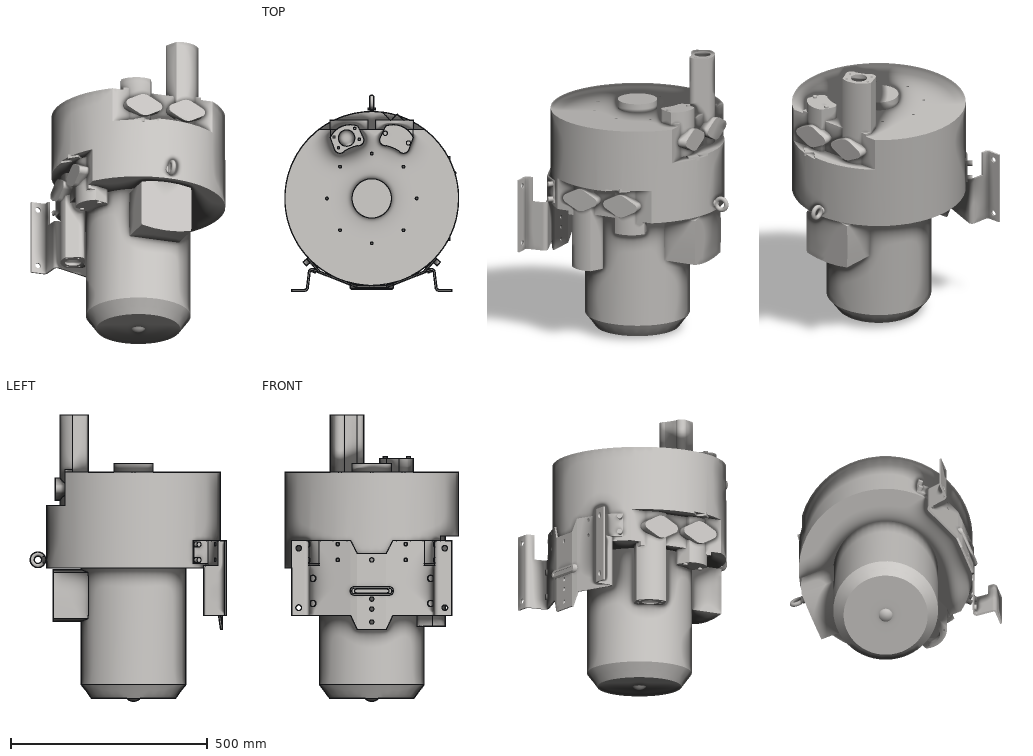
import math

import cadquery as cq


overall_height = 727.83
overall_depth = 498.78

housing_radius = 221
housing_height = 243.4
housing_top = housing_height / 2
housing_bottom = -housing_top
port_flat_y = 174.5
port_flat_depth = 84
port_turn_z = -1.4
ledge_z = housing_top - port_flat_depth
hub_radius = 50
hub_height = 22.5
cover_hole_count = 8
cover_hole_circle_radius = 114
cover_hole_diameter = 7
cover_hole_depth = 15

recess_depth = 5
recess_line_start = (26, 220)
wedge_apex = (65, 214.5)
wedge_side = 28

lobe_spacing = 50
lobe_radius = 14.5
lobe_end_angle = 123
waist_v = -10.8
shoulder_u = 38
shoulder_v = 33
crown_v = 48
lobe_center_x = 57.7
lobe_center_y = 138.7
lobe_tilt = 22.6

silencer_height = 145.6
silencer_bore_radius = 20.8
silencer_bore_depth = 27
bore_v = 15.8
silencer_hole_spacing_u = 57
silencer_hole_spacing_v = 30
silencer_hole_diameter = 6
silencer_hole_depth = 20
port_cover_height = 35
cover_bolt_u = 32
cover_bolt_diameter = 11
cover_bolt_height = 4.4

pad_x = (62, 105)
pad_y = (155, port_flat_y)
pad_height = 6.6
pad_embed = 10

flange_center_x = 58
flange_z = housing_top - 43
flange_face_y = 199
flange_embed = 1
flange_hub_radius = 28.5
flange_ear_radius = 11.5
flange_ear_offset = 37

motor_radius = 133.2
motor_length = 296
motor_cone_length = 35
motor_end_radius = 107
motor_cap_radius = 17.5
motor_cap_height = (
    overall_height - silencer_height - housing_height - motor_length - motor_cone_length
)

box_top = -125.6
box_bottom = -257.6
box_half_width = 67
box_face_y = 204
box_end_bulge = 7.5
box_side_bulge = 1.5

foot_y = -236
eye_tip_y = foot_y + overall_depth
eye_z = -100.8
eye_minor_radius = 5.5
eye_outer_radius = 20
eye_collar_diameter = 20
eye_collar_y = (225, 230)
eye_shank_diameter = 8
eye_shank_start_y = 215

sheet = 5
plate_distance = 225.2
plate_angle = 21.5
tab_angle = 49
tab_end_setback = 7.5
tongue_y = -226
tongue_half_width = 37
tongue_bend_x = 53.5
bracket_top = -52
bracket_bottom = -242.3
tongue_top = -84.4
tongue_bottom = -277.4
tab_bottom = -110.7
notch_bottom = -115.6
notch_end_y = -215
foot_start_x = 128
foot_shoulder_x = 155.5
foot_heel_x = 167
foot_end_x = 203.8
foot_bend_radius = 5
foot_hole_x = 185.5
foot_hole_zs = (-71.3, -222.5)
foot_hole_diameter = 14
plate_hole_x = 87
plate_hole_zs = (-61, -101)
plate_hole_diameter = 9
tongue_hole_zs = (-101, -200.6, -226, -259)
tongue_hole_diameter = 11
rib_z = -180
rib_half_length = 55
rib_height = 22
rib_rise = 5
rib_chamfer = 4
rib_groove_height = 9
rib_groove_depth = 2
tab_bolt_setback = 14
tab_bolt_diameter = 13
tab_bolt_length = 12.5
tab_bolt_zs = (-61.5, -101.5)
foot_bolt_x = 149
foot_bolt_zs = (-148, -211.6)
foot_bolt_diameter = 16
foot_bolt_rise = 4


def box(x_range, y_range, z_range):
    size = [high - low for low, high in (x_range, y_range, z_range)]
    return cq.Workplane().box(*size, centered=False).translate((x_range[0], y_range[0], z_range[0]))


def cylinder(start, direction, diameter, length):
    solid = cq.Solid.makeCylinder(diameter / 2, length, cq.Vector(*start), cq.Vector(*direction))
    return cq.Workplane(solid)


def mirror_x(body):
    return body.union(body.mirror("YZ"))



def lobe_point(angle):
    """Point on the +u lobe, angle in degrees from the +u direction towards the waist."""
    a = math.radians(angle)
    return (lobe_spacing / 2 + lobe_radius * math.cos(a), -lobe_radius * math.sin(a))


def lobe_outline():
    """Closed outline with two lobes, a shallow waist between them and a broad crown."""
    middle_u, middle_v = lobe_point(lobe_end_angle / 2)
    end_u, end_v = lobe_point(lobe_end_angle)
    return (
        cq.Workplane()
        .moveTo(-shoulder_u, shoulder_v)
        .threePointArc((0, crown_v), (shoulder_u, shoulder_v))
        .lineTo(*lobe_point(0))
        .threePointArc((middle_u, middle_v), (end_u, end_v))
        .threePointArc((0, waist_v), (-end_u, end_v))
        .threePointArc((-middle_u, middle_v), (-lobe_spacing / 2 - lobe_radius, 0))
        .close()
    )


def place_lobe(body):
    """Tilt a lobe-shaped body and stand it on the ledge at the -X port."""
    turned = body.rotate((0, 0, 0), (0, 0, 1), lobe_tilt)
    return turned.translate((-lobe_center_x, lobe_center_y, ledge_z))


def make_silencer():
    body = lobe_outline().extrude(port_flat_depth + silencer_height)
    top = body.faces(">Z").workplane(origin=(0, bore_v, 0))
    body = top.circle(silencer_bore_radius).cutBlind(-silencer_bore_depth)
    top = body.faces(">Z").workplane(origin=(0, bore_v, 0))
    holes = top.rarray(silencer_hole_spacing_u, silencer_hole_spacing_v, 2, 2)
    body = holes.circle(silencer_hole_diameter / 2).cutBlind(-silencer_hole_depth)
    return place_lobe(body)


def make_port_cover():
    height = port_flat_depth + port_cover_height
    body = lobe_outline().extrude(height)
    for u in (-cover_bolt_u, cover_bolt_u):
        body = body.union(cylinder((u, bore_v, height), (0, 0, 1), cover_bolt_diameter, cover_bolt_height))
    return place_lobe(body).mirror("YZ")


def make_flange():
    """Two-bolt flange: a hub circle with a smaller ear on each side, joined by tangents."""
    cos_t = (flange_hub_radius - flange_ear_radius) / flange_ear_offset
    sin_t = math.sqrt(1 - cos_t**2)
    ear_x = flange_ear_offset + flange_ear_radius * cos_t
    ear_z = flange_ear_radius * sin_t
    hub_x = flange_hub_radius * cos_t
    hub_z = flange_hub_radius * sin_t
    tip_x = flange_ear_offset + flange_ear_radius
    outline = (
        cq.Workplane("XZ", origin=(flange_center_x, flange_face_y, flange_z))
        .moveTo(hub_x, hub_z)
        .lineTo(ear_x, ear_z)
        .threePointArc((tip_x, 0), (ear_x, -ear_z))
        .lineTo(hub_x, -hub_z)
        .threePointArc((0, -flange_hub_radius), (-hub_x, -hub_z))
        .lineTo(-ear_x, -ear_z)
        .threePointArc((-tip_x, 0), (-ear_x, ear_z))
        .lineTo(-hub_x, hub_z)
        .threePointArc((0, flange_hub_radius), (hub_x, hub_z))
        .close()
    )
    return outline.extrude(flange_face_y - port_flat_y + flange_embed)


def make_port_parts():
    pad = box(pad_x, pad_y, (housing_top - pad_embed, housing_top + pad_height))
    parts = mirror_x(make_flange().union(pad))
    return parts.union(make_silencer()).union(make_port_cover())


def make_wedge():
    reach = wedge_side / math.sqrt(2)
    x, y = wedge_apex
    return (
        cq.Workplane(origin=(0, 0, ledge_z - 2 * recess_depth))
        .polyline([(x, y), (x - reach, y - reach), (x, y - 2 * reach), (x + reach, y - reach)])
        .close()
        .extrude(2 * recess_depth)
    )


def make_port_cut():
    """Material removed above the ledge, plus the shallow recess in it."""
    r = housing_radius
    cut = box((-r, r), (port_flat_y, r), (ledge_z, housing_top))
    x, y = recess_line_start
    run = y - port_flat_y
    recess = (
        cq.Workplane(origin=(0, 0, ledge_z - recess_depth))
        .polyline([(x, y), (x, r), (port_flat_y, r), (port_flat_y, port_flat_y), (x + run, port_flat_y)])
        .close()
        .extrude(recess_depth)
    )
    return cut.union(recess)


def to_lower_port(body):
    """Turn an upper port body half round so that it sits on the +X flat, pointing down."""
    return body.rotate((0, 0, port_turn_z), (1, 1, port_turn_z), 180)


def make_housing():
    body = cylinder((0, 0, housing_bottom), (0, 0, 1), 2 * housing_radius, housing_height)
    cut = make_port_cut()
    extra = make_port_parts().union(make_wedge())
    body = body.cut(cut).cut(to_lower_port(cut))
    body = body.union(extra).union(to_lower_port(extra))
    body = body.union(cylinder((0, 0, housing_top), (0, 0, 1), 2 * hub_radius, hub_height))
    for i in range(cover_hole_count):
        angle = 2 * math.pi * i / cover_hole_count
        x = cover_hole_circle_radius * math.cos(angle)
        y = cover_hole_circle_radius * math.sin(angle)
        body = body.cut(cylinder((x, y, housing_top), (0, 0, -1), cover_hole_diameter, cover_hole_depth))
    return body



def make_motor():
    cone_top = housing_bottom - motor_length
    cone_bottom = cone_top - motor_cone_length
    cap_sphere = (motor_cap_radius**2 + motor_cap_height**2) / (2 * motor_cap_height)
    cap_mid = math.asin(motor_cap_radius / cap_sphere) / 2
    cap_bottom = cone_bottom - motor_cap_height
    cap_mid_point = (
        cap_sphere * math.sin(cap_mid),
        cap_bottom + cap_sphere * (1 - math.cos(cap_mid)),
    )
    return (
        cq.Workplane("XZ")
        .moveTo(0, housing_bottom)
        .lineTo(motor_radius, housing_bottom)
        .lineTo(motor_radius, cone_top)
        .lineTo(motor_end_radius, cone_bottom)
        .lineTo(motor_cap_radius, cone_bottom)
        .threePointArc(cap_mid_point, (0, cap_bottom))
        .close()
        .revolve(360, (0, 0, 0), (0, 1, 0))
    )


def make_terminal_box():
    w = box_half_width
    middle = (box_top + box_bottom) / 2
    top_corner = box_top - box_end_bulge
    bottom_corner = box_bottom + box_end_bulge
    return (
        cq.Workplane("XZ", origin=(0, box_face_y, 0))
        .moveTo(-w, top_corner)
        .threePointArc((0, box_top), (w, top_corner))
        .threePointArc((w + box_side_bulge, middle), (w, bottom_corner))
        .threePointArc((0, box_bottom), (-w, bottom_corner))
        .threePointArc((-w - box_side_bulge, middle), (-w, top_corner))
        .close()
        .extrude(box_face_y)
    )


def make_lifting_eye():
    center = cq.Vector(0, eye_tip_y - eye_outer_radius, eye_z)
    major_radius = eye_outer_radius - eye_minor_radius
    ring = cq.Workplane(cq.Solid.makeTorus(major_radius, eye_minor_radius, center, cq.Vector(1, 0, 0)))
    collar_start, collar_end = eye_collar_y
    collar = cylinder((0, collar_start, eye_z), (0, 1, 0), eye_collar_diameter, collar_end - collar_start)
    shank_length = collar_start - eye_shank_start_y
    shank = cylinder((0, eye_shank_start_y, eye_z), (0, 1, 0), eye_shank_diameter, shank_length)
    opening_diameter = 2 * (major_radius - eye_minor_radius)
    opening_start = (-eye_outer_radius, center.y, eye_z)
    opening = cylinder(opening_start, (1, 0, 0), opening_diameter, 2 * eye_outer_radius)
    return ring.union(collar.cut(opening)).union(shank)



def face_point(angle, x):
    """Point at a given x on the outer face of a sheet tangent around the housing."""
    a = math.radians(angle)
    return (x, (x * math.sin(a) - plate_distance) / math.cos(a))


def outward(angle):
    a = math.radians(angle)
    return (math.sin(a), -math.cos(a), 0)


def bend_sheet(path, z_bottom, z_top, radius=0):
    """Sheet with its lower or outer face along the path, thickened to the left of the path."""
    normals = []
    for (x0, y0), (x1, y1) in zip(path, path[1:]):
        length = math.hypot(x1 - x0, y1 - y0)
        normals.append(((y0 - y1) / length, (x1 - x0) / length))
    offset = []
    for i, (x, y) in enumerate(path):
        ax, ay = normals[max(i - 1, 0)]
        bx, by = normals[min(i, len(normals) - 1)]
        scale = sheet / (1 + ax * bx + ay * by)
        offset.append((x + scale * (ax + bx), y + scale * (ay + by)))
    outline = cq.Workplane(origin=(0, 0, z_bottom)).polyline(path + offset[::-1]).close()
    body = outline.extrude(z_top - z_bottom)
    if not radius:
        return body
    z_middle = (z_bottom + z_top) / 2
    for i in range(1, len(path) - 1):
        (ax, ay), (bx, by) = normals[i - 1], normals[i]
        turns_left = ax * by - ay * bx > 0
        inner, outer = (offset[i], path[i]) if turns_left else (path[i], offset[i])
        for point, bend in ((inner, radius), (outer, radius + sheet)):
            edge = cq.selectors.NearestToPointSelector((*point, z_middle))
            body = body.edges(edge).fillet(bend)
    return body


def tab_bend_point():
    middle = math.radians((plate_angle + tab_angle) / 2)
    radius = plate_distance / math.cos(math.radians((tab_angle - plate_angle) / 2))
    return (radius * math.sin(middle), -radius * math.cos(middle))


def tab_point(setback):
    """Point on the outer face of the tab, measured back from where it is nearest the axis."""
    a = math.radians(tab_angle)
    return (
        plate_distance * math.sin(a) - setback * math.cos(a),
        -plate_distance * math.cos(a) - setback * math.sin(a),
    )


def make_plate():
    """Right half of the tongue with the plate beside it, sloped top and bottom edges included."""
    bend = face_point(plate_angle, tongue_bend_x)
    path = [(0, tongue_y), (tongue_half_width, tongue_y), bend, tab_bend_point()]
    body = bend_sheet(path, tongue_bottom, bracket_top)
    outer_x = path[-1][0] + sheet
    trim = (
        cq.Workplane("XZ")
        .polyline([
            (0, tongue_top),
            (tongue_half_width, tongue_top),
            (tongue_bend_x, bracket_top),
            (outer_x, bracket_top),
            (outer_x, bracket_bottom),
            (tongue_bend_x, bracket_bottom),
            (tongue_half_width, tongue_bottom),
            (0, tongue_bottom),
        ])
        .close()
        .extrude(-foot_y)
    )
    return body.intersect(trim)


def make_tab():
    start = tab_bend_point()
    body = bend_sheet([start, tab_point(tab_end_setback)], tab_bottom, bracket_top)
    x, y = tab_point(tab_bolt_setback)
    for z in tab_bolt_zs:
        body = body.union(cylinder((x, y, z), outward(tab_angle), tab_bolt_diameter, tab_bolt_length))
    return body


def make_foot():
    """Foot sheet, notched above the web so that the bolted tab stays clear."""
    upper_y = foot_y + sheet
    start = face_point(plate_angle, foot_start_x)
    path = [
        start,
        face_point(plate_angle, foot_shoulder_x),
        (foot_heel_x - sheet, foot_y),
        (foot_end_x, foot_y),
    ]
    body = bend_sheet(path, bracket_bottom, bracket_top, foot_bend_radius)
    notch = box((0, foot_end_x), (notch_end_y, 0), (notch_bottom, bracket_top))
    body = body.cut(notch)
    for z in foot_hole_zs:
        body = body.cut(cylinder((foot_hole_x, upper_y, z), (0, -1, 0), foot_hole_diameter, sheet))
    bolt_x, bolt_y = face_point(plate_angle, foot_bolt_x)
    for z in foot_bolt_zs:
        bolt = cylinder((bolt_x, bolt_y, z), outward(plate_angle), foot_bolt_diameter, foot_bolt_rise)
        body = body.union(bolt)
    return body


def make_rib():
    """Stadium-shaped rib across the tongue with a groove along its crest."""
    base = cq.Workplane("XZ", origin=(0, tongue_y + sheet, rib_z))
    rib = base.slot2D(2 * rib_half_length, rib_height).extrude(sheet + rib_rise)
    rib = rib.faces("<Y").chamfer(rib_chamfer)
    crest = cq.Workplane("XZ", origin=(0, tongue_y - rib_rise, rib_z))
    groove_length = 2 * rib_half_length - rib_height
    return rib.cut(crest.slot2D(groove_length, rib_groove_height).extrude(-rib_groove_depth))


def make_bracket():
    plate = make_plate()
    hole_x, hole_y = face_point(plate_angle, plate_hole_x)
    out_x, out_y, _ = outward(plate_angle)
    for z in plate_hole_zs:
        start = (hole_x + out_x, hole_y + out_y, z)
        plate = plate.cut(cylinder(start, (-out_x, -out_y, 0), plate_hole_diameter, 2 * sheet))
    for z in tongue_hole_zs:
        plate = plate.cut(cylinder((0, tongue_y, z), (0, 1, 0), tongue_hole_diameter, sheet))
    half = plate.union(make_tab()).union(make_foot())
    return mirror_x(half).union(make_rib())


result = (
    make_housing()
    .union(make_motor())
    .union(make_terminal_box())
    .union(make_lifting_eye())
    .union(make_bracket())
)